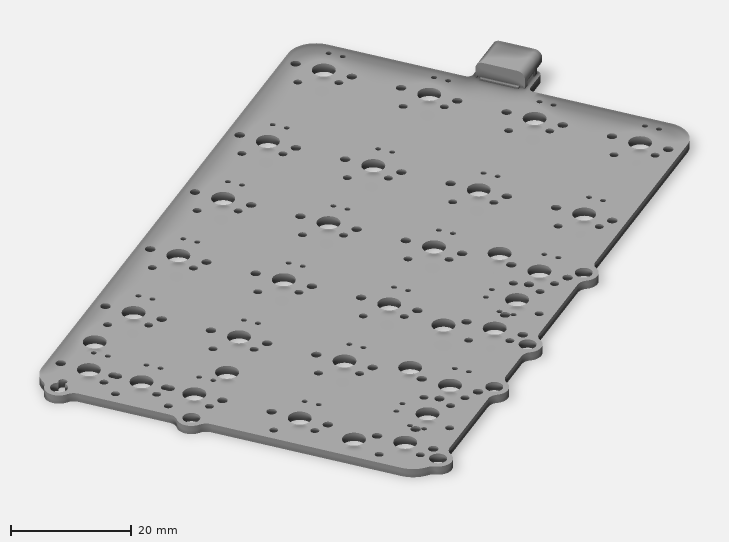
import cadquery as cq


OVERALL_LENGTH = 124.7

GRID_HEIGHT = 100.1
TOP_ROW_STEP = 5.25
KEY_PITCH = GRID_HEIGHT / TOP_ROW_STEP
COLUMN_STEPS = (-1.5, -0.5, 0.5, 1.5)
ROW_STEPS = (0, 1, 2, 3, 4, TOP_ROW_STEP)
EDGE_MARGIN = 7.5
COLUMNS = [step * KEY_PITCH for step in COLUMN_STEPS]
ROWS = [EDGE_MARGIN + step * KEY_PITCH for step in ROW_STEPS]

BOARD_THICKNESS = 1.6
BOARD_WIDTH = COLUMNS[-1] - COLUMNS[0] + 2 * EDGE_MARGIN
BOARD_HEIGHT = GRID_HEIGHT + 2 * EDGE_MARGIN
CORNER_RADIUS = 5.0
TAB_WIDTH = 10.3
TAB_LENGTH = 6.1
TAB_RADIUS = 1.0

FINE_STEP = KEY_PITCH / 15
SWITCH_HOLES = (
    (4.0, [(0, 0)]),
    (1.7, [(-4, 0), (4, 0)]),
    (1.5, [(3, -2), (-2, -4)]),
    (1.0, [(-1, 4), (1, 4)]),
)

STABILIZER_HALF_SPAN = 12.0
CLIP_DIAMETER = 4.0
CLIP_OFFSET = 8.2
SCREW_DIAMETER = 3.0
SCREW_OFFSET = 7.0
EAR_RADIUS = 2.5
EAR_FILLET = 2.0
EAR_REACH = SCREW_OFFSET + EAR_RADIUS - EDGE_MARGIN

SHELL_WIDTH = 9.0
SHELL_HEIGHT = 3.2
SHELL_LENGTH = 7.4
SHELL_RADIUS = 1.4
SHELL_WALL = 0.31
REAR_WALL = 1.0
SHELL_MID_Z = BOARD_THICKNESS + SHELL_HEIGHT / 2
MOUTH_Y = OVERALL_LENGTH - EAR_REACH
REAR_Y = MOUTH_Y - SHELL_LENGTH
LEG_LENGTH = 1.1
LEG_HEIGHT = SHELL_HEIGHT / 2
FRONT_LEG_SETBACK = 2.1
LEADS_WIDTH = 7.0
LEADS_HEIGHT = 0.4
LEADS_OVERHANG = 0.5


def around(center, offset, turned):
    """The point at an offset from a key centre; a turned key is rotated a quarter turn."""
    dx, dy = offset
    if turned:
        dx, dy = -dy, dx
    return center[0] + dx, center[1] + dy


def midpoint(a, b):
    return (a + b) / 2


SINGLE_KEYS = [((x, y), False) for x in COLUMNS for y in ROWS]
DOUBLE_KEYS = [
    ((midpoint(COLUMNS[0], COLUMNS[1]), ROWS[0]), False),
    ((COLUMNS[3], midpoint(ROWS[0], ROWS[1])), True),
    ((COLUMNS[3], midpoint(ROWS[2], ROWS[3])), True),
]


def stabilizer_points(offset):
    """Points at both ends of each double-size key, offset square to its long direction."""
    return [
        around(center, (end * STABILIZER_HALF_SPAN, offset), turned)
        for center, turned in DOUBLE_KEYS
        for end in (-1, 1)
    ]


CLIP_POINTS = stabilizer_points(CLIP_OFFSET)
SCREW_POINTS = stabilizer_points(-SCREW_OFFSET)


def fillet_tab_roots(board):
    for side in (-1, 1):
        root = (side * TAB_WIDTH / 2, BOARD_HEIGHT, BOARD_THICKNESS / 2)
        board = board.edges(cq.selectors.NearestToPointSelector(root)).fillet(TAB_RADIUS)
    return board


def fillet_ear_roots(board):
    """Round the inside corners on both sides of each ear, leaving out the ear's outermost line."""
    for x, y in SCREW_POINTS:
        outer_x = min(x + EAR_RADIUS, BOARD_WIDTH / 2 + EAR_REACH / 2)
        ear_box = cq.selectors.BoxSelector(
            (x - EAR_RADIUS, y - EAR_RADIUS, 0),
            (outer_x, y + EAR_RADIUS, BOARD_THICKNESS),
        )
        board = board.edges("|Z").edges(ear_box).fillet(EAR_FILLET)
    return board


def make_blank():
    """The undrilled board: rounded plate, connector tab and an ear around each screw hole."""
    plate = (
        cq.Workplane("XY")
        .center(0, BOARD_HEIGHT / 2)
        .rect(BOARD_WIDTH, BOARD_HEIGHT)
        .extrude(BOARD_THICKNESS)
        .edges("|Z")
        .fillet(CORNER_RADIUS)
    )
    tab = (
        cq.Workplane("XY")
        .center(0, BOARD_HEIGHT)
        .rect(TAB_WIDTH, 2 * TAB_LENGTH)
        .extrude(BOARD_THICKNESS)
        .edges("|Z")
        .fillet(TAB_RADIUS)
    )
    ears = cq.Workplane("XY").pushPoints(SCREW_POINTS).circle(EAR_RADIUS).extrude(BOARD_THICKNESS)
    return fillet_ear_roots(fillet_tab_roots(plate.union(tab).union(ears)))


def drills(points, diameter):
    """One cylinder per hole, kept apart because some holes run into each other."""
    return [
        cq.Solid.makeCylinder(diameter / 2, BOARD_THICKNESS, cq.Vector(x, y, 0)) for x, y in points
    ]


def switch_drills():
    cutters = []
    for diameter, steps in SWITCH_HOLES:
        points = [
            around(center, (dx * FINE_STEP, dy * FINE_STEP), turned)
            for center, turned in SINGLE_KEYS + DOUBLE_KEYS
            for dx, dy in steps
        ]
        cutters += drills(points, diameter)
    return cutters


def make_board():
    stabilizer_drills = drills(CLIP_POINTS, CLIP_DIAMETER) + drills(SCREW_POINTS, SCREW_DIAMETER)
    drilled = make_blank().val().cut(*switch_drills(), *stabilizer_drills)
    return cq.Workplane(drilled.Solids()[0])


def shell_bar(inset, rear_y):
    """A bar from rear_y to the mouth with the shell's rounded section, shrunk by inset."""
    length = MOUTH_Y - rear_y
    return (
        cq.Workplane("XY")
        .box(SHELL_WIDTH - 2 * inset, length, SHELL_HEIGHT - 2 * inset)
        .edges("|Y")
        .fillet(SHELL_RADIUS - inset)
        .translate((0, rear_y + length / 2, SHELL_MID_Z))
    )


def make_legs():
    """Four flat legs that carry the straight shell sides down to the board."""
    leg_x = (SHELL_WIDTH - SHELL_WALL) / 2
    rear_leg_y = REAR_Y + LEG_LENGTH / 2
    front_leg_y = MOUTH_Y - FRONT_LEG_SETBACK - LEG_LENGTH / 2
    centers = [(side * leg_x, y) for side in (-1, 1) for y in (rear_leg_y, front_leg_y)]
    return (
        cq.Workplane("XY", origin=(0, 0, BOARD_THICKNESS))
        .pushPoints(centers)
        .rect(SHELL_WALL, LEG_LENGTH)
        .extrude(LEG_HEIGHT)
    )


def make_leads():
    """The strip of contact leads, lying on the board and passing through the rear wall."""
    length = REAR_WALL + LEADS_OVERHANG
    return (
        cq.Workplane("XY", origin=(0, 0, BOARD_THICKNESS))
        .center(0, REAR_Y - LEADS_OVERHANG + length / 2)
        .rect(LEADS_WIDTH, length)
        .extrude(LEADS_HEIGHT)
    )


def make_shell(leads):
    cavity = shell_bar(SHELL_WALL, REAR_Y + REAR_WALL)
    return shell_bar(0, REAR_Y).union(make_legs()).cut(cavity).cut(leads)


board = make_board()
leads = make_leads()
shell = make_shell(leads)
result = cq.Compound.makeCompound([board.val(), shell.val(), leads.val()])